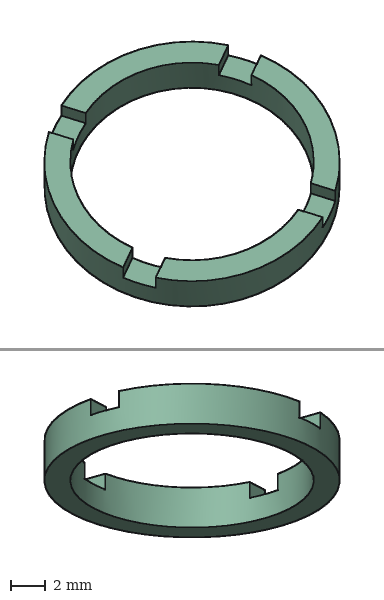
import cadquery as cq

outer_diameter = 17.0
inner_diameter = 14.0
height = 2.5

slot_width = 2.0
slot_depth = 1.0
slot_floor = height - slot_depth


def make_ring():
    """Plain ring standing on the XY plane."""
    return (
        cq.Workplane("XY")
        .circle(outer_diameter / 2)
        .circle(inner_diameter / 2)
        .extrude(height)
    )


def make_slot_bar(angle):
    """Bar across the full ring that cuts two opposite slots."""
    return (
        cq.Workplane("XY")
        .workplane(offset=slot_floor)
        .transformed(rotate=(0, 0, angle))
        .rect(outer_diameter, slot_width)
        .extrude(slot_depth)
    )


result = make_ring()
for bar_angle in (0, 90):
    result = result.cut(make_slot_bar(bar_angle))